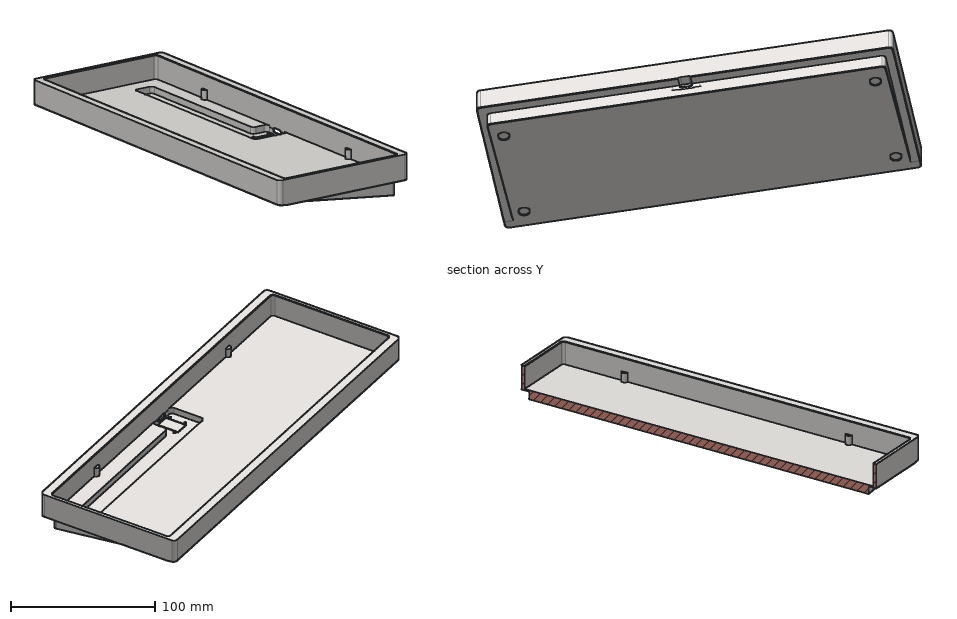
import cadquery as cq
import math

LENGTH = 293.7
WIDTH = 110.2
TRAY_HEIGHT = 19.0
OUTER_RADIUS = 3.0
BOTTOM_CHAMFER = 0.5

SIDE_WALL = 3.0
END_WALL = 7.0
CAVITY_LENGTH = LENGTH - 2 * SIDE_WALL
CAVITY_WIDTH = WIDTH - 2 * END_WALL
CAVITY_DEPTH = 17.5
CAVITY_RADIUS = 2.0
RIM_CHAMFER = 0.4
FLOOR_Z = TRAY_HEIGHT - CAVITY_DEPTH
BACK_WALL_Y = CAVITY_WIDTH / 2

TOTAL_HEIGHT = 30.82
TILT = 7.0
WEDGE_INSET = 6.3
WEDGE_LENGTH = LENGTH - 2 * WEDGE_INSET
WEDGE_BACK_Y = WIDTH / 2 - WEDGE_INSET
WEDGE_RADIUS = 2.6
WEDGE_CHAMFER = 0.5
TILT_SLOPE = math.tan(math.radians(TILT))
WEDGE_DEPTH = TOTAL_HEIGHT - TRAY_HEIGHT + WEDGE_CHAMFER * math.sin(math.radians(TILT))
WEDGE_FRONT_Y = WEDGE_BACK_Y - WEDGE_DEPTH / TILT_SLOPE

FOOT_DIAMETER = 8.0
FOOT_DEPTH = 1.0
FOOT_X = 131.0
FOOT_FRONT_Y = -41.0
FOOT_BACK_Y = 35.0

POCKET_DEPTH = 5.0
POCKET_LEFT_X = -131.5
POCKET_RIGHT_X = 12.0
POCKET_BRANCH_X = -12.0
POCKET_FRONT_Y = 20.8
POCKET_STEP_Y = 35.9
POCKET_RADIUS = 2.5
POCKET_Z = FLOOR_Z - POCKET_DEPTH

SEAT_LENGTH = 10.5
SEAT_FRONT_Y = 31.4
SEAT_DEPTH = 0.5
PORT_WIDTH = 9.0
PORT_HEIGHT = 3.2
PORT_RISE = 1.4
HOLE_DIAMETER = 1.6
HOLE_DEPTH = 3.0
HOLE_X = 7.0
HOLE_YS = (33.2, 45.6)

POST_RADIUS = 2.5
POST_HEIGHT = 7.0
BACK_POST_X = 85.7
FRONT_POST_X = 92.7


def make_tray():
    body = cq.Workplane("XY").box(LENGTH, WIDTH, TRAY_HEIGHT, centered=(True, True, False))
    body = body.edges("|Z").fillet(OUTER_RADIUS).cut(make_front_relief())
    flat_rim = body.faces("<Z").edges("not <Y")
    sloped_rim = body.faces("<Y").edges("<Z")
    return flat_rim.add(sloped_rim).chamfer(BOTTOM_CHAMFER)


def underside_z(y):
    """Height of the sloping underside at a given Y."""
    return (WEDGE_FRONT_Y - y) * TILT_SLOPE


def make_wedge():
    profile = [
        (WEDGE_FRONT_Y, 0),
        (WEDGE_BACK_Y, -WEDGE_DEPTH),
        (WEDGE_BACK_Y, FLOOR_Z),
        (WEDGE_FRONT_Y, FLOOR_Z),
    ]
    wedge = cq.Workplane("YZ").polyline(profile).close().extrude(WEDGE_LENGTH / 2, both=True)
    wedge = wedge.edges("|Z and >Y").fillet(WEDGE_RADIUS)
    underside = wedge.faces("<Z")
    return underside.edges("not <Y").chamfer(WEDGE_CHAMFER)


def make_front_relief():
    """Wedge of material removed where the slope runs on up to the front edge."""
    front_y = -WIDTH / 2
    profile = [
        (WEDGE_FRONT_Y, 0),
        (front_y, underside_z(front_y)),
        (front_y, 0),
    ]
    return cq.Workplane("YZ").polyline(profile).close().extrude(LENGTH / 2, both=True)


def make_cavity():
    cavity = (
        cq.Workplane("XY", origin=(0, 0, FLOOR_Z))
        .box(CAVITY_LENGTH, CAVITY_WIDTH, CAVITY_DEPTH, centered=(True, True, False))
        .edges("|Z")
        .fillet(CAVITY_RADIUS)
    )
    flare = (
        cq.Workplane("XY", origin=(0, 0, TRAY_HEIGHT - RIM_CHAMFER))
        .rect(CAVITY_LENGTH + 2 * RIM_CHAMFER, CAVITY_WIDTH + 2 * RIM_CHAMFER)
        .extrude(2 * RIM_CHAMFER)
        .edges("|Z")
        .fillet(CAVITY_RADIUS + RIM_CHAMFER)
        .faces("<Z")
        .chamfer(RIM_CHAMFER)
    )
    return cavity.union(flare)


def make_pocket():
    outline = [
        (POCKET_LEFT_X, POCKET_FRONT_Y),
        (POCKET_RIGHT_X, POCKET_FRONT_Y),
        (POCKET_RIGHT_X, BACK_WALL_Y),
        (POCKET_BRANCH_X, BACK_WALL_Y),
        (POCKET_BRANCH_X, POCKET_STEP_Y),
        (POCKET_LEFT_X, POCKET_STEP_Y),
    ]
    pocket = cq.Workplane("XY", origin=(0, 0, POCKET_Z)).polyline(outline).close().extrude(POCKET_DEPTH)
    return pocket.edges("|Z").fillet(POCKET_RADIUS)


def make_connector_cuts():
    seat_z = POCKET_Z - SEAT_DEPTH
    seat_width = BACK_WALL_Y - SEAT_FRONT_Y
    seat = cq.Workplane("XY", origin=(0, SEAT_FRONT_Y, seat_z)).box(
        SEAT_LENGTH, seat_width, SEAT_DEPTH, centered=(True, False, False)
    )
    port_center_z = POCKET_Z + PORT_RISE + PORT_HEIGHT / 2
    port = (
        cq.Workplane("XZ", origin=(0, BACK_WALL_Y, port_center_z))
        .slot2D(PORT_WIDTH, PORT_HEIGHT)
        .extrude(-END_WALL)
    )
    hole_points = [(x, y) for x in (-HOLE_X, HOLE_X) for y in HOLE_YS]
    holes = (
        cq.Workplane("XY", origin=(0, 0, POCKET_Z))
        .pushPoints(hole_points)
        .circle(HOLE_DIAMETER / 2)
        .extrude(-HOLE_DEPTH)
    )
    return seat.union(port).union(holes)


def make_post(x, side):
    """Post centred on the face of the back (side = 1) or front (side = -1) wall."""
    return (
        cq.Workplane("XY", origin=(x, side * BACK_WALL_Y, FLOOR_Z))
        .circle(POST_RADIUS)
        .extrude(POST_HEIGHT)
    )


def make_foot_recess(x, y):
    return (
        cq.Workplane("XY")
        .circle(FOOT_DIAMETER / 2)
        .extrude(FOOT_DEPTH)
        .rotate((0, 0, 0), (1, 0, 0), -TILT)
        .translate((x, y, underside_z(y)))
    )


result = make_tray().union(make_wedge())
result = result.cut(make_cavity()).cut(make_pocket()).cut(make_connector_cuts())
for direction in (-1, 1):
    result = result.union(make_post(direction * BACK_POST_X, 1))
    result = result.union(make_post(direction * FRONT_POST_X, -1))
    for foot_y in (FOOT_FRONT_Y, FOOT_BACK_Y):
        result = result.cut(make_foot_recess(direction * FOOT_X, foot_y))